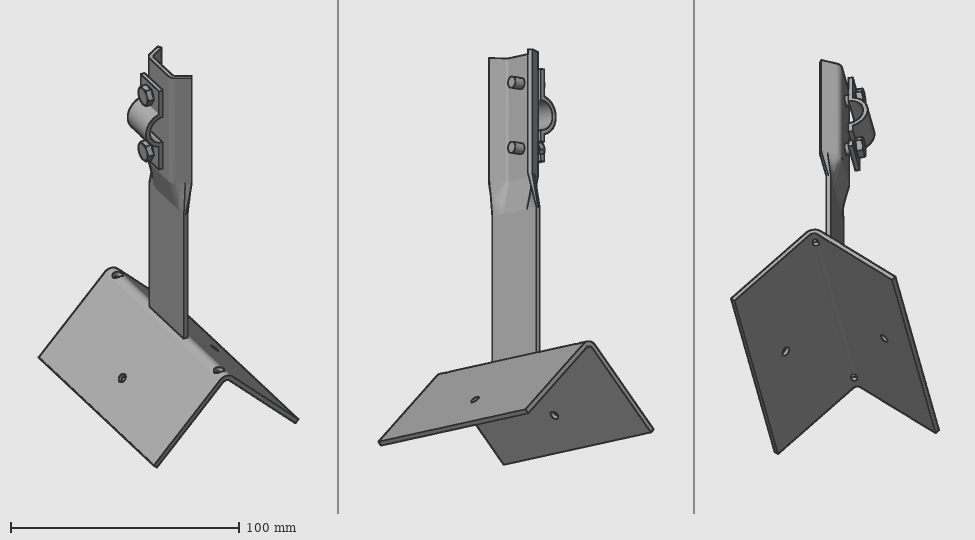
import cadquery as cq
import math

sheet = 2.0

plate_length = 100.0
plate_span = 73.42
plate_sheet = 2.25
fold_inner_radius = 2.285
fold_outer_radius = fold_inner_radius + plate_sheet
plate_hole_diameter = 4.0
ridge_hole_x = 44.0
flank_hole_y = 23.5

strip_width = 30.0
overall_height = 171.2
channel_height = 55.0
transition_height = 15.0
channel_depth = 9.0
web_front_y = -4.8
web_width = 16.0
flange_angle = 60.0
bend_outer_radius = 3.75
ridge_line_y = 0.7

strap_height = 41.0
strap_width = web_width
saddle_inner_radius = 6.6
saddle_corner_radius = 0.5
bolt_spacing = 29.0
bolt_clearance = 5.5
clamp_centre_below_top = 27.0
clamp_back_y = -7.5

shank_diameter = 4.57
shank_length = 2.5
thread_lead = 0.5
thread_diameter = 5.0
bolt_length = 12.0
head_across_flats = 8.0
head_height = 3.5
washer_face_diameter = 6.7
washer_face_height = 0.5
head_chamfer_angle = 30.0

corner_z = fold_outer_radius * (math.sqrt(2) - 1)
inner_corner_z = corner_z - plate_sheet * math.sqrt(2)
eave_y = plate_span / 2
eave_z = corner_z - eave_y
edge_step = plate_sheet / math.sqrt(2)

post_height = overall_height + eave_z - edge_step
channel_bottom = post_height - channel_height
strip_top = channel_bottom - transition_height
clamp_z = post_height - clamp_centre_below_top
clamp_front_y = clamp_back_y - sheet
saddle_outer_radius = saddle_inner_radius + sheet
web_back_y = web_front_y + sheet
bend_centre_y = web_front_y + bend_outer_radius
flange_turn = math.radians(flange_angle)
bolt_heights = [clamp_z + side * bolt_spacing / 2 for side in (1, -1)]


def y_rod(diameter, y_start, y_end, z):
    """Round rod along Y at X = 0."""
    plane = cq.Plane(origin=(0, y_start, z), xDir=(1, 0, 0), normal=(0, 1, 0))
    return cq.Workplane(plane).circle(diameter / 2).extrude(y_end - y_start)


def nearest_edge(x, y, z):
    return cq.selectors.NearestToPointSelector((x, y, z))


def make_ridge_plate():
    plate = (
        cq.Workplane("YZ")
        .moveTo(0, corner_z)
        .lineTo(eave_y, eave_z)
        .lineTo(eave_y - edge_step, eave_z - edge_step)
        .lineTo(0, inner_corner_z)
        .lineTo(-eave_y + edge_step, eave_z - edge_step)
        .lineTo(-eave_y, eave_z)
        .close()
        .extrude(plate_length / 2, both=True)
    )
    plate = plate.edges(nearest_edge(0, 0, corner_z)).fillet(fold_outer_radius)
    plate = plate.edges(nearest_edge(0, 0, inner_corner_z)).fillet(fold_inner_radius)
    for side in (1, -1):
        plate = plate.cut(ridge_hole(side * ridge_hole_x))
        plate = plate.cut(flank_hole(side))
    return plate


def ridge_hole(x):
    """Round hole punched before folding, so its walls run radially to the fold axis."""
    hole_radius = plate_hole_diameter / 2
    half_angle = hole_radius / (fold_inner_radius + plate_sheet / 2)
    low = fold_inner_radius / 2
    high = fold_outer_radius + plate_sheet
    return (
        cq.Workplane("XY", origin=(x, 0, low - fold_outer_radius))
        .ellipse(hole_radius, low * math.tan(half_angle))
        .workplane(offset=high - low)
        .ellipse(hole_radius, high * math.tan(half_angle))
        .loft(combine=True)
    )


def flank_hole(side):
    y = side * flank_hole_y
    plane = cq.Plane(origin=(0, y, corner_z - flank_hole_y), xDir=(1, 0, 0), normal=(0, side, 1))
    return cq.Workplane(plane).circle(plate_hole_diameter / 2).extrude(2 * plate_sheet, both=True)


def bend_point(radius, turn):
    """Point on the right-hand bend, `turn` radians round from the web."""
    return (web_width / 2 + radius * math.sin(turn), bend_centre_y - radius * math.cos(turn))


def along_flange(start, y):
    """Point at height `y` on the flange line that leaves `start`."""
    return (start[0] + (y - start[1]) / math.tan(flange_turn), y)


def mirrored(point):
    return (-point[0], point[1])


bend_inner_radius = bend_outer_radius - sheet
outer_web = (web_width / 2, web_front_y)
outer_bend_mid = bend_point(bend_outer_radius, flange_turn / 2)
outer_bend_end = bend_point(bend_outer_radius, flange_turn)
inner_web = (web_width / 2, web_back_y)
inner_bend_mid = bend_point(bend_inner_radius, flange_turn / 2)
inner_bend_end = bend_point(bend_inner_radius, flange_turn)
inner_tip = along_flange(inner_bend_end, web_front_y + channel_depth)
outer_tip = along_flange(outer_bend_end, inner_tip[1] - sheet * math.cos(flange_turn))
outer_ridge = along_flange(outer_bend_end, ridge_line_y)


def channel_outline(workplane):
    """Web toward -Y, flanges leaning outward toward +Y."""
    return (
        workplane
        .moveTo(*mirrored(outer_web))
        .lineTo(*outer_web)
        .threePointArc(outer_bend_mid, outer_bend_end)
        .lineTo(*outer_ridge)
        .lineTo(*outer_tip)
        .lineTo(*inner_tip)
        .lineTo(*inner_bend_end)
        .threePointArc(inner_bend_mid, inner_web)
        .lineTo(*mirrored(inner_web))
        .threePointArc(mirrored(inner_bend_mid), mirrored(inner_bend_end))
        .lineTo(*mirrored(inner_tip))
        .lineTo(*mirrored(outer_tip))
        .lineTo(*mirrored(outer_ridge))
        .lineTo(*mirrored(outer_bend_end))
        .threePointArc(mirrored(outer_bend_mid), mirrored(outer_web))
        .close()
    )


def strip_outline(workplane):
    """Flat strip split at the points that open out into the corners of the channel."""
    half_width = strip_width / 2
    half_sheet = sheet / 2
    outer_lengths = [
        web_width / 2,
        bend_outer_radius * flange_turn,
        math.dist(outer_bend_end, outer_ridge),
    ]
    inner_lengths = [
        web_width / 2,
        bend_inner_radius * flange_turn,
        math.dist(inner_bend_end, inner_tip),
    ]
    front_web_x, front_bend_x = split_half_width(outer_lengths)
    back_web_x, back_bend_x = split_half_width(inner_lengths)
    right_side = [
        (front_web_x, -half_sheet),
        (front_bend_x, -half_sheet),
        (half_width, -half_sheet),
        (half_width, 0),
        (half_width, half_sheet),
        (back_bend_x, half_sheet),
        (back_web_x, half_sheet),
    ]
    left_side = [mirrored(point) for point in reversed(right_side)]
    return workplane.polyline([left_side[-1], *right_side, *left_side[:-1]]).close()


def split_half_width(lengths):
    """Positions across half the strip in proportion to the first two of three lengths."""
    share = strip_width / 2 / sum(lengths)
    return share * lengths[0], share * (lengths[0] + lengths[1])


def make_post():
    strip_foot = -fold_outer_radius
    fold = (
        cq.Workplane("YZ", origin=(0, 0, strip_foot))
        .circle(fold_outer_radius)
        .extrude(strip_width, both=True)
    )
    strip = (
        cq.Workplane("XY", origin=(0, 0, strip_foot))
        .rect(strip_width, sheet)
        .extrude(strip_top - strip_foot)
        .cut(fold)
    )
    transition = channel_outline(
        strip_outline(cq.Workplane("XY", origin=(0, 0, strip_top))).workplane(offset=transition_height)
    ).loft(ruled=True)
    channel = channel_outline(cq.Workplane("XY", origin=(0, 0, channel_bottom))).extrude(channel_height)
    post = strip.union(transition).union(channel)
    for z in bolt_heights:
        post = post.cut(y_rod(thread_diameter, web_front_y, web_back_y, z))
    return post


def make_clamp():
    strap = (
        cq.Workplane("XY")
        .box(strap_width, sheet, strap_height)
        .translate((0, clamp_back_y - sheet / 2, clamp_z))
    )
    axis = cq.Workplane("YZ", origin=(0, clamp_back_y, clamp_z))
    saddle = axis.circle(saddle_outer_radius).extrude(strap_width / 2, both=True)
    front_half = (
        cq.Workplane("XY")
        .box(strap_width, 2 * saddle_outer_radius, strap_height)
        .translate((0, clamp_back_y - saddle_outer_radius, clamp_z))
    )
    clamp = strap.union(saddle.intersect(front_half))
    clamp = clamp.cut(axis.circle(saddle_inner_radius).extrude(strap_width, both=True))
    outer_reach = math.sqrt(saddle_outer_radius ** 2 - sheet ** 2)
    for side in (1, -1):
        for y, reach in ((clamp_back_y, saddle_inner_radius), (clamp_front_y, outer_reach)):
            corner = (0, y, clamp_z + side * reach)
            clamp = clamp.edges(nearest_edge(*corner)).fillet(saddle_corner_radius)
    for z in bolt_heights:
        clamp = clamp.cut(y_rod(bolt_clearance, clamp_front_y, clamp_back_y, z))
    slot = (
        cq.Workplane("XY")
        .box(strap_width, sheet, bolt_clearance)
        .translate((-strap_width / 2, clamp_back_y - sheet / 2, bolt_heights[1]))
    )
    return clamp.cut(slot)


def make_bolt(z):
    face_front = clamp_front_y - washer_face_height
    head_front = clamp_front_y - head_height
    thread_start = clamp_front_y + shank_length - thread_lead
    thread_end = clamp_front_y + bolt_length
    across_corners = head_across_flats / math.cos(math.pi / 6)
    head_plane = cq.Plane(origin=(0, head_front, z), xDir=(1, 0, 0), normal=(0, 1, 0))
    head = cq.Workplane(head_plane).polygon(6, across_corners).extrude(face_front - head_front)
    corner_height = (across_corners - head_across_flats) / 2
    corner_cone = (
        y_rod(across_corners, head_front, face_front, z)
        .faces("<Y")
        .chamfer(corner_height * math.tan(math.radians(head_chamfer_angle)), corner_height)
    )
    thread = (
        y_rod(thread_diameter, thread_start, thread_end, z)
        .faces("<Y")
        .chamfer(thread_lead, (thread_diameter - shank_diameter) / 2)
    )
    return (
        head.intersect(corner_cone)
        .union(y_rod(washer_face_diameter, face_front, clamp_front_y, z))
        .union(y_rod(shank_diameter, clamp_front_y, thread_start, z))
        .union(thread)
    )


ridge_plate = make_ridge_plate()
post = make_post()
clamp = make_clamp()
bolts = [make_bolt(z) for z in bolt_heights]
result = cq.Compound.makeCompound(
    [ridge_plate.val(), post.val(), clamp.val(), *[bolt.val() for bolt in bolts]]
)